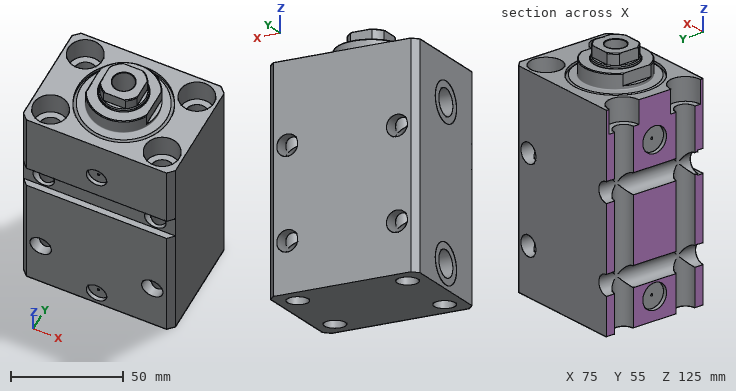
import cadquery as cq
import math

block_length = 75.0
block_width = 55.0
block_height = 110.0
overall_height = 125.0
corner_chamfer = 3.0

slot_height = 12.0
slot_depth = 3.0
slot_centre_z = 70.0

bolt_diameter = 10.5
bolt_spacing_x = 55.0
bolt_spacing_y = 35.0
counterbore_diameter = 16.7
counterbore_depth = 12.0
cross_hole_heights = (25.0, slot_centre_z)

upper_port_z = 88.0
side_port_heights = (12.0, upper_port_z)
side_port_diameter = 13.2
side_port_depth = 12.0
spotface_diameter = 20.0
spotface_depth = 0.1
front_port_heights = (7.0, upper_port_z)
front_port_diameter = 10.0
front_port_depth = 2.0
oil_channel_diameter = 1.0

flange_diameter = 45.0
flange_depth = 15.0
flange_chamfer = 1.5
hub_diameter = 34.0
hub_height = 8.0
hub_edge_chamfer = 0.4
hub_base_fillet = 0.4
hub_flat_width = 30.0
hub_flat_start = 2.0
hub_bore_chamfer = 0.4

rod_diameter = 22.5
rod_bottom_z = 5.0
rod_shoulder_rise = 1.2
rod_shoulder_chamfer = 0.5
tip_diameter = 21.4
tip_flat_width = 18.5
tip_chamfer = 0.4
tip_hole_diameter = 10.5
tip_hole_chamfer = 0.25
tip_hole_depth = 16.0
drill_point_angle = 118.0

side_face_x = -block_length / 2
front_face_y = -block_width / 2
flange_bottom_z = block_height - flange_depth
hub_top_z = block_height + hub_height
shoulder_z = hub_top_z + rod_shoulder_rise
tip_height = overall_height - shoulder_z


def cylinder_up(diameter, bottom_z, top_z):
    """Vertical cylinder on the rod axis."""
    return cq.Workplane("XY").workplane(offset=bottom_z).circle(diameter / 2).extrude(top_z - bottom_z)


def bore_from_side(diameter, depth, z):
    """Cylinder running inward along +X from the -X face."""
    start = cq.Workplane("YZ", origin=(side_face_x, 0, z))
    return start.circle(diameter / 2).extrude(depth)


def bore_from_front(diameter, depth, x, z):
    """Cylinder running inward along +Y from the -Y face."""
    start = cq.Workplane("XZ", origin=(x, front_face_y, z))
    return start.circle(diameter / 2).extrude(-depth)


def make_block():
    block = cq.Workplane("XY").box(
        block_length, block_width, block_height, centered=(True, True, False)
    )
    block = block.edges("|Z").chamfer(corner_chamfer)

    slot = cq.Workplane("XY").box(block_length, 2 * slot_depth, slot_height)
    block = block.cut(slot.translate((0, front_face_y, slot_centre_z)))

    block = (
        block.faces(">Z").workplane(origin=(0, 0, block_height))
        .rarray(bolt_spacing_x, bolt_spacing_y, 2, 2)
        .cboreHole(bolt_diameter, counterbore_diameter, counterbore_depth)
    )

    for z in cross_hole_heights:
        for x in (-bolt_spacing_x / 2, bolt_spacing_x / 2):
            block = block.cut(bore_from_front(bolt_diameter, block_width, x, z))

    for z in side_port_heights:
        block = block.cut(bore_from_side(spotface_diameter, spotface_depth, z))
        block = block.cut(bore_from_side(side_port_diameter, side_port_depth, z))
        block = block.cut(bore_from_side(oil_channel_diameter, block_length / 2, z))
    for z in front_port_heights:
        block = block.cut(bore_from_front(front_port_diameter, front_port_depth, 0, z))
        block = block.cut(bore_from_front(oil_channel_diameter, block_width / 2, 0, z))

    block = block.cut(cylinder_up(flange_diameter, flange_bottom_z, block_height))
    return block.cut(cylinder_up(rod_diameter, rod_bottom_z, block_height))


def make_gland():
    flange = cylinder_up(flange_diameter, flange_bottom_z, block_height)
    flange = flange.faces(">Z").edges().chamfer(flange_chamfer)

    hub = cylinder_up(hub_diameter, block_height, hub_top_z)
    hub = hub.faces(">Z").edges().chamfer(hub_edge_chamfer)

    collar_top_z = block_height + hub_flat_start
    collar = cylinder_up(hub_diameter, block_height, collar_top_z)
    flats = cq.Workplane("XY").workplane(offset=collar_top_z)
    flats = flats.rect(hub_flat_width, hub_diameter).extrude(hub_top_z - collar_top_z)
    hub = hub.intersect(collar.union(flats))

    gland = flange.union(hub)
    root_circle = cq.selectors.BoxSelector(
        (-hub_diameter, -hub_diameter, block_height - hub_base_fillet),
        (hub_diameter, hub_diameter, block_height + hub_base_fillet),
        boundingbox=True,
    )
    root_radius = cq.selectors.RadiusNthSelector(0)
    gland = gland.edges(root_circle).edges("%CIRCLE").edges(root_radius).fillet(hub_base_fillet)

    gland = gland.cut(cylinder_up(rod_diameter, flange_bottom_z, hub_top_z))
    bore_rim = cq.selectors.RadiusNthSelector(0)
    return gland.faces(">Z").edges("%CIRCLE").edges(bore_rim).chamfer(hub_bore_chamfer)


def make_rod():
    shaft = cylinder_up(rod_diameter, rod_bottom_z, shoulder_z)
    shaft = shaft.faces(">Z").edges().chamfer(rod_shoulder_chamfer)

    tip = cylinder_up(tip_diameter, shoulder_z, overall_height)
    tip = tip.faces(">Z").edges().chamfer(tip_chamfer)
    flats = cq.Workplane("XY").workplane(offset=shoulder_z)
    flats = flats.rect(tip_flat_width, tip_flat_width).extrude(tip_height)
    rod = shaft.union(tip.intersect(flats))

    hole_radius = tip_hole_diameter / 2
    hole_bottom_z = overall_height - tip_hole_depth
    point_depth = hole_radius / math.tan(math.radians(drill_point_angle / 2))
    hole = (
        cq.Workplane("XZ")
        .moveTo(0, overall_height)
        .lineTo(hole_radius + tip_hole_chamfer, overall_height)
        .lineTo(hole_radius, overall_height - tip_hole_chamfer)
        .lineTo(hole_radius, hole_bottom_z)
        .lineTo(0, hole_bottom_z - point_depth)
        .close()
        .revolve(360, (0, 0, 0), (0, 1, 0))
    )
    return rod.cut(hole)


block = make_block()
gland = make_gland()
rod = make_rod()

result = cq.Compound.makeCompound([block.val(), gland.val(), rod.val()])